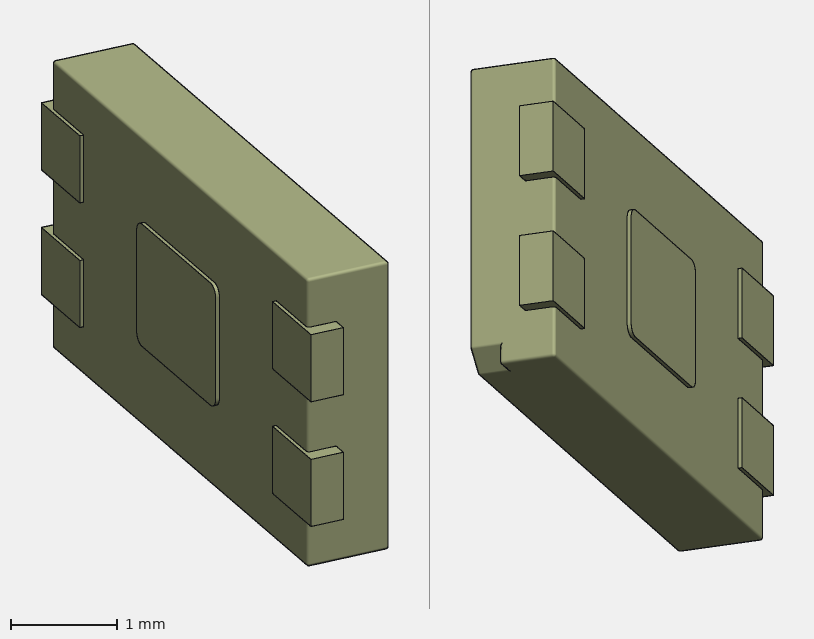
import cadquery as cq

OVERALL_LENGTH = 5.6
OVERALL_DEPTH = 0.9
BODY_LENGTH = 5.3
BODY_HEIGHT = 3.0
STANDOFF = 0.04
EDGE_RADIUS = 0.03

TERMINAL_LENGTH = 0.8
TERMINAL_HEIGHT = 0.7
TERMINAL_DEPTH = 0.34
TERMINAL_PITCH = 1.3

CENTER_PAD_LENGTH = 1.64
CENTER_PAD_HEIGHT = 1.275
CENTER_PAD_RADIUS = 0.11

MARK_LEG = 0.2
MARK_DEPTH = 0.3


def box_from_front(length, depth, height, front_y):
    """Box centred on X and Z whose front face lies at front_y."""
    box = cq.Workplane("XY").box(length, depth, height, centered=(True, False, True))
    return box.translate((0, front_y, 0))


def make_corner_mark():
    """Triangular prism that bevels the rear part of the -X, -Z corner."""
    corner_x = -BODY_LENGTH / 2
    corner_z = -BODY_HEIGHT / 2
    triangle = (
        cq.Workplane("XZ", origin=(0, OVERALL_DEPTH, 0))
        .moveTo(corner_x, corner_z)
        .lineTo(corner_x + MARK_LEG, corner_z)
        .lineTo(corner_x, corner_z + MARK_LEG)
        .close()
    )
    return triangle.extrude(MARK_DEPTH)


def make_body():
    """Block standing off the seating plane, bevelled at the mark, all outer edges rounded."""
    block = box_from_front(BODY_LENGTH, OVERALL_DEPTH - STANDOFF, BODY_HEIGHT, STANDOFF)
    marked_block = block.cut(make_corner_mark())
    inner_edge_middle = (
        (MARK_LEG - BODY_LENGTH) / 2,
        OVERALL_DEPTH - MARK_DEPTH,
        (MARK_LEG - BODY_HEIGHT) / 2,
    )
    inner_edge = cq.selectors.NearestToPointSelector(inner_edge_middle)
    outer_edges = cq.selectors.InverseSelector(inner_edge)
    return marked_block.edges(outer_edges).fillet(EDGE_RADIUS)


def add_terminals(part):
    """Join four terminal blocks to the part, two at each end."""
    center_x = (OVERALL_LENGTH - TERMINAL_LENGTH) / 2
    center_z = TERMINAL_PITCH / 2
    terminal = box_from_front(TERMINAL_LENGTH, TERMINAL_DEPTH, TERMINAL_HEIGHT, 0)
    for x in (-center_x, center_x):
        for z in (-center_z, center_z):
            part = part.union(terminal.translate((x, 0, z)))
    return part


def make_center_pad():
    """Thin pad on the front face, with rounded corners."""
    pad = box_from_front(CENTER_PAD_LENGTH, STANDOFF, CENTER_PAD_HEIGHT, 0)
    return pad.edges("|Y").fillet(CENTER_PAD_RADIUS)


result = add_terminals(make_body().union(make_center_pad()))